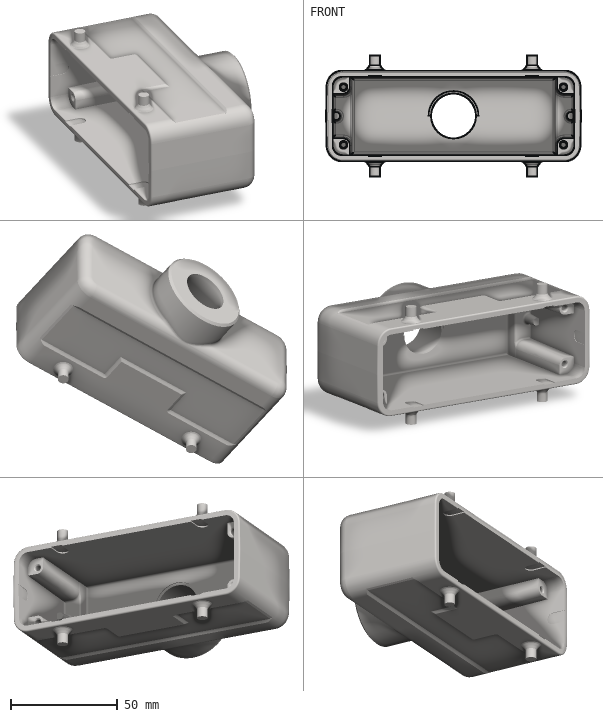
import cadquery as cq
import math


half_length = 60.0
half_height = 21.4
end_crown = 0.4
corner_radius = 7.5
body_depth = 54.8
back_fillet = 5.0
rim_fillet = 0.7

entry_diameter = 41.0
entry_end = 69.5
entry_chamfer = 1.1
entry_root_fillet = 1.0
bore_diameter = 21.0
relief_diameter = 23.5
relief_depth = 0.5

wall = 2.9
end_wall = 3.1
cavity_half_length = half_length - end_wall
cavity_half_height = half_height - wall
cavity_corner_radius = corner_radius - wall
floor_depth = body_depth - wall
shelf_depth = 45.6
well_half_length = 48.4
cavity_draft = 0.7
shelf_fillet = 0.8
well_fillet = 1.0
lip_fillet = 0.8

post_front = 9.1
post_inner_x = 48.7
post_inner_z = 10.5
post_taper = 1.3
post_corner_radius = 3.1
screw_x = 51.7
screw_z = 13.5
screw_diameter = 2.8
screw_mouth_diameter = 3.7
screw_depth = 14.4

stub_x = 55.2
stub_front = 38.4
stub_tip_diameter = 3.7
stub_diameter = 5.0

pin_x = 37.0
pin_y = 6.2
pin_span = 57.0
pin_diameter = 5.0
pin_embed = 1.2
collar_steps = [(9.4, 0), (8.2, 0.4), (6.4, 1.5), (pin_diameter, 2.5)]
groove_width = 5.8
groove_depth = 0.5
end_groove_depth = 0.1

recess_depth = 1.0
recess_half_length = 58.8
recess_wall_run = 1.5
recess_front = 14.6
recess_back = 40.2
tab_half_width = 19.0
tab_back = 27.6
tab_corner_radius = 1.0
run_out_start = 55.3
run_out_length = 1.5
run_out_drop = 0.5

mouth_plane = cq.Workplane("XZ")


def slab(outline, front, back):
    """Extrude an outline drawn in X and Z from one depth to another."""
    return outline.extrude(-(back - front)).translate((0, front, 0))


def four_corners(shape):
    """Copies of a shape mirrored into all four XZ quadrants."""
    pair = shape.union(shape.mirror("YZ"))
    return pair.union(pair.mirror("XY"))


def shell():
    """Solid outer block whose end faces rise slightly to a crest at mid height."""
    side_x = half_length - end_crown
    outline = mouth_plane.polyline([
        (side_x, half_height),
        (half_length, 0),
        (side_x, -half_height),
        (-side_x, -half_height),
        (-half_length, 0),
        (-side_x, half_height),
    ]).close()
    body = slab(outline, 0, body_depth)
    body = body.edges("|Y").edges(">Z or <Z").fillet(corner_radius)
    body = body.faces(">Y").edges().fillet(back_fillet)
    return body.faces("<Y").edges().fillet(rim_fillet)


def outer_body():
    """Outer block joined to the cable entry, with the joint between them rounded."""
    joint = cq.selectors.BoxSelector(
        (-entry_diameter, body_depth - back_fillet / 2, -half_height),
        (entry_diameter, body_depth + entry_root_fillet, half_height),
    )
    return shell().union(cable_entry()).edges(joint).fillet(entry_root_fillet)


def cable_entry():
    """Round neck on the back, rooted in the back wall."""
    entry = slab(mouth_plane.circle(entry_diameter / 2), floor_depth, entry_end)
    return entry.faces(">Y").edges().chamfer(entry_chamfer)


def screw_post():
    """Solid of one tapered post, widening toward the back, in the +X +Z corner."""
    length_x = half_length - post_inner_x
    length_z = half_height - post_inner_z
    front = cq.Sketch().rect(2 * length_x, 2 * length_z).vertices().fillet(post_corner_radius)
    post = mouth_plane.placeSketch(front).extrude(-(shelf_depth - post_front), taper=-post_taper)
    return post.translate((half_length, post_front, half_height))


def cavity():
    """Cutter for the inner space: mouth, end spaces between the posts and deep middle well."""
    rim = (
        cq.Sketch()
        .rect(2 * cavity_half_length, 2 * cavity_half_height)
        .vertices()
        .fillet(cavity_corner_radius)
    )
    space = mouth_plane.placeSketch(rim).extrude(-shelf_depth, taper=cavity_draft)
    space = space.cut(four_corners(screw_post())).cut(end_stubs())
    space = space.faces(">Y").edges().fillet(shelf_fillet)
    well = mouth_plane.rect(2 * well_half_length, 2 * cavity_half_height)
    well = well.extrude(-floor_depth, taper=cavity_draft)
    well = well.faces(">Y").edges().fillet(well_fillet)
    cutter = space.union(well)
    for side in (-1, 1):
        lip = cq.selectors.NearestToPointSelector((side * well_half_length, shelf_depth, 0))
        cutter = cutter.edges(lip).fillet(lip_fillet)
    return cutter


def screw_hole():
    """Cutter for one blind screw hole with a countersunk mouth."""
    hole = slab(mouth_plane.circle(screw_diameter / 2), post_front, post_front + screw_depth)
    mouth_depth = (screw_mouth_diameter - screw_diameter) / 2
    mouth = (
        mouth_plane.circle(screw_mouth_diameter / 2)
        .workplane(offset=-mouth_depth)
        .circle(screw_diameter / 2)
        .loft()
        .translate((0, post_front, 0))
    )
    return hole.union(mouth).translate((screw_x, 0, screw_z))


def end_stubs():
    """Tapered half-round stubs rising from the shelves at both ends of the cavity."""
    stub = (
        mouth_plane.circle(stub_tip_diameter / 2)
        .workplane(offset=-(shelf_depth - stub_front))
        .circle(stub_diameter / 2)
        .loft()
        .translate((stub_x, stub_front, 0))
    )
    return stub.union(stub.mirror("YZ"))


def locking_pin():
    """Pin on a flared collar, standing on the upper face at X = pin_x."""
    profile = cq.Workplane("XZ").moveTo(0, half_height - pin_embed)
    profile = profile.lineTo(collar_steps[0][0] / 2, half_height - pin_embed)
    for diameter, height in collar_steps:
        profile = profile.lineTo(diameter / 2, half_height + height)
    profile = profile.lineTo(pin_diameter / 2, pin_span / 2).lineTo(0, pin_span / 2).close()
    return profile.revolve(360, (0, 0), (0, 1)).translate((pin_x, pin_y, 0))


def groove(depth):
    """Round-ended groove cutter, open at the mouth, reaching up to Z = depth."""
    flat = cq.Workplane("XY").rect(groove_width, 2 * pin_y).extrude(depth)
    tip = cq.Workplane("XY").center(0, pin_y).circle(groove_width / 2).extrude(depth)
    return flat.union(tip)


def pin_grooves():
    """Cutters for the grooves inside the long walls, behind the pins."""
    return four_corners(groove(cavity_half_height + groove_depth).translate((pin_x, 0, 0)))


def end_grooves():
    """Cutters for the shallow grooves inside the end walls."""
    right = groove(cavity_half_length + end_groove_depth).rotate((0, 0, 0), (0, 1, 0), 90)
    return right.union(right.mirror("YZ"))


def label_recess():
    """Cutter for the upper face: a floor with sloping walls that goes around a middle tab."""
    floor = [
        (-recess_half_length, recess_back),
        (recess_half_length, recess_back),
        (recess_half_length, recess_front),
        (tab_half_width, recess_front),
        (tab_half_width, tab_back),
        (-tab_half_width, tab_back),
        (-tab_half_width, recess_front),
        (-recess_half_length, recess_front),
    ]
    floor_z = half_height - recess_depth
    slope_angle = math.degrees(math.atan(recess_wall_run / recess_depth))
    cutter = (
        cq.Workplane("XY")
        .workplane(offset=floor_z)
        .polyline(floor)
        .close()
        .extrude(recess_depth, taper=-slope_angle)
    )
    tab_corners = cq.selectors.BoxSelector(
        (-tab_half_width, tab_back - recess_wall_run, floor_z),
        (tab_half_width, tab_back, half_height),
    )
    cutter = cutter.edges(tab_corners).edges("not(|X or |Y)").fillet(tab_corner_radius)
    run_out = mouth_plane.polyline([
        (run_out_start, half_height),
        (run_out_start, floor_z),
        (run_out_start + run_out_length, floor_z - run_out_drop),
        (half_length, half_height),
    ]).close()
    run_out = slab(run_out, recess_front, recess_back)
    return cutter.union(run_out).union(run_out.mirror("YZ"))


def bore():
    return slab(mouth_plane.circle(bore_diameter / 2), 0, entry_end)


def bore_relief():
    """Shallow half-round step above the bore in the cavity floor."""
    half_round = (
        mouth_plane.moveTo(-relief_diameter / 2, 0)
        .threePointArc((0, relief_diameter / 2), (relief_diameter / 2, 0))
        .close()
    )
    return slab(half_round, floor_depth, floor_depth + relief_depth)


recess = label_recess()
body = outer_body().cut(recess).cut(recess.mirror("XY"))
body = body.cut(cavity())
body = body.union(four_corners(locking_pin()))
body = body.cut(pin_grooves()).cut(end_grooves())
body = body.cut(four_corners(screw_hole()))
body = body.cut(bore()).cut(bore_relief())
result = body